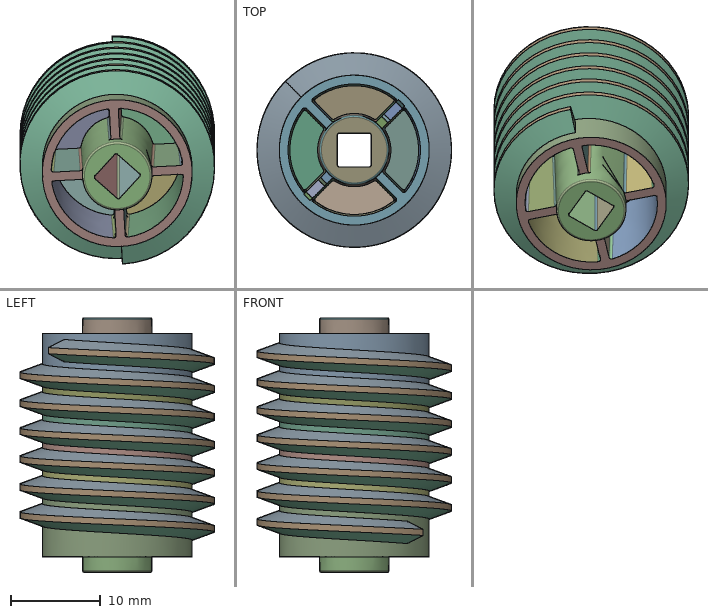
import cadquery as cq
import math

total_height = 28.4
hub_projection = 1.73
body_diameter = 16.73
body_bottom = hub_projection
body_top = total_height - hub_projection

hub_tip_diameter = 7.72
hub_edge_radius = 0.2
square_hole_size = 3.75
square_corner_radius = 0.2

thread_diameter = 21.73
thread_turns = 6.5
thread_start_height = 4.45
thread_rise = 20.28
thread_start_angle = -45.0
thread_pitch = thread_rise / thread_turns
thread_flank_angle = 20.0
thread_crest_width = 0.68
thread_embed = 0.23

draft_angle = 1.0
pocket_outer_radius = 7.38
web_thickness = 1.7
rib_width = 1.0
pocket_corner_radius = 0.28
pocket_depth = (body_top - body_bottom - web_thickness) / 2
pocket_floor = body_top - pocket_depth
draft_slope = math.tan(math.radians(draft_angle))
hub_face_radius = hub_tip_diameter / 2 + hub_projection * draft_slope

notch_depth = 0.5
notch_inner_radius = 4.83
notch_outer_radius = 7.47
notch_side_run = 0.37
notch_rib_angle = 45.0


def make_hub_end():
    """Drafted hub stub above the top face of the body, with a rounded rim."""
    return (
        cq.Workplane("XY", origin=(0, 0, body_top))
        .circle(hub_face_radius)
        .extrude(hub_projection, taper=draft_angle)
        .faces(">Z")
        .edges()
        .fillet(hub_edge_radius)
    )


def make_thread():
    """Left-handed trapezoidal ridge, rooted slightly inside the body."""
    root_radius = body_diameter / 2 - thread_embed
    tip_radius = thread_diameter / 2
    half_crest = thread_crest_width / 2
    half_root = half_crest + (tip_radius - root_radius) * math.tan(math.radians(thread_flank_angle))
    path = cq.Wire.makeHelix(thread_pitch, thread_rise, root_radius, lefthand=True)
    ridge = (
        cq.Workplane("XZ")
        .polyline([
            (root_radius, -half_root),
            (tip_radius, -half_crest),
            (tip_radius, half_crest),
            (root_radius, half_root),
        ])
        .close()
        .sweep(cq.Workplane(obj=path), isFrenet=True)
    )
    return (
        ridge.rotate((0, 0, 0), (0, 0, 1), thread_start_angle)
        .translate((0, 0, thread_start_height))
    )


def make_rib(angle):
    """Drafted full-diameter rib, widening from the top face of the body to the pocket floor."""
    half_top = rib_width / 2
    half_floor = half_top + pocket_depth * draft_slope
    return (
        cq.Workplane("YZ")
        .polyline([
            (-half_top, body_top),
            (half_top, body_top),
            (half_floor, pocket_floor),
            (-half_floor, pocket_floor),
        ])
        .close()
        .extrude(pocket_outer_radius + rib_width, both=True)
        .rotate((0, 0, 0), (0, 0, 1), angle)
    )


def make_pockets():
    """Drafted ring below the top face of the body, split into four pockets by the ribs."""
    draft_inset = pocket_depth * draft_slope
    ring = (
        cq.Workplane("XZ")
        .polyline([
            (hub_face_radius, body_top),
            (pocket_outer_radius, body_top),
            (pocket_outer_radius - draft_inset, pocket_floor),
            (hub_face_radius + draft_inset, pocket_floor),
        ])
        .close()
        .revolve(360, (0, 0, 0), (0, 1, 0))
    )
    return (
        ring.cut(make_rib(notch_rib_angle))
        .cut(make_rib(notch_rib_angle + 90))
        .edges("not(<Z or >Z)")
        .fillet(pocket_corner_radius)
    )


def make_rib_notch():
    """Ring of trapezoidal section, limited to the two ribs along one diagonal."""
    floor = body_top - notch_depth
    ring = (
        cq.Workplane("XZ")
        .polyline([
            (notch_inner_radius, body_top),
            (notch_inner_radius + notch_side_run, floor),
            (notch_outer_radius - notch_side_run, floor),
            (notch_outer_radius, body_top),
        ])
        .close()
        .revolve(360, (0, 0, 0), (0, 1, 0))
    )
    strip_width = rib_width + 2 * notch_depth * draft_slope
    strip = (
        cq.Workplane("XY", origin=(0, 0, body_top))
        .rect(2 * notch_outer_radius, strip_width)
        .extrude(-notch_depth)
        .rotate((0, 0, 0), (0, 0, 1), notch_rib_angle)
    )
    return ring.intersect(strip)


def mirrored_end_for_end(shape):
    return shape.mirror("XY", (0, 0, total_height / 2))


worm = (
    cq.Workplane("XY", origin=(0, 0, body_bottom))
    .circle(body_diameter / 2)
    .extrude(body_top - body_bottom)
)

hub_end = make_hub_end()
worm = worm.union(hub_end).union(mirrored_end_for_end(hub_end))

pockets = make_pockets()
worm = worm.cut(pockets).cut(mirrored_end_for_end(pockets))

worm = worm.cut(make_rib_notch())

square_hole = (
    cq.Workplane("XY")
    .rect(square_hole_size, square_hole_size)
    .extrude(total_height)
    .edges("|Z")
    .fillet(square_corner_radius)
)
worm = worm.cut(square_hole)

result = worm.union(make_thread())